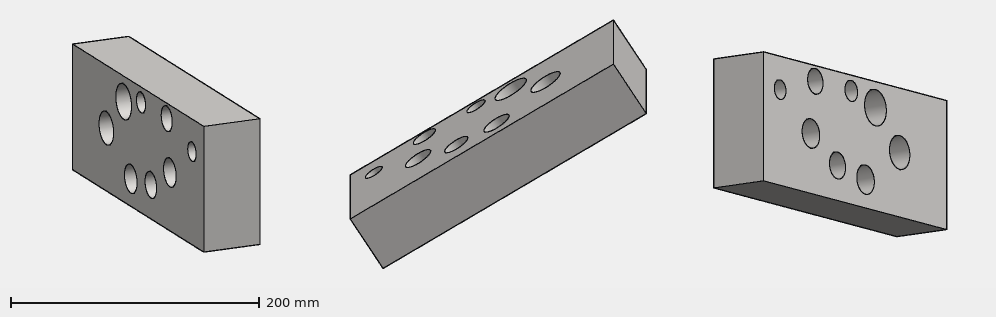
import cadquery as cq

length = 250.0
thickness = 50.0
height = 106.0

holes = [
    (64.5, 53.0, 27.8),
    (97.5, 84.5, 29.8),
    (111.0, 23.2, 24.0),
    (130.5, 93.0, 17.2),
    (149.2, 28.8, 22.0),
    (179.5, 93.0, 21.0),
    (185.5, 49.2, 24.0),
    (227.5, 78.5, 16.0),
]


def through_hole(x, z, diameter):
    """Cylinder along Y that spans the full thickness of the block."""
    return (
        cq.Workplane("XZ", origin=(x, 0, z))
        .circle(diameter / 2)
        .extrude(-thickness)
    )


result = cq.Workplane("XY").box(length, thickness, height, centered=False)

for x, z, diameter in holes:
    result = result.cut(through_hole(x, z, diameter))